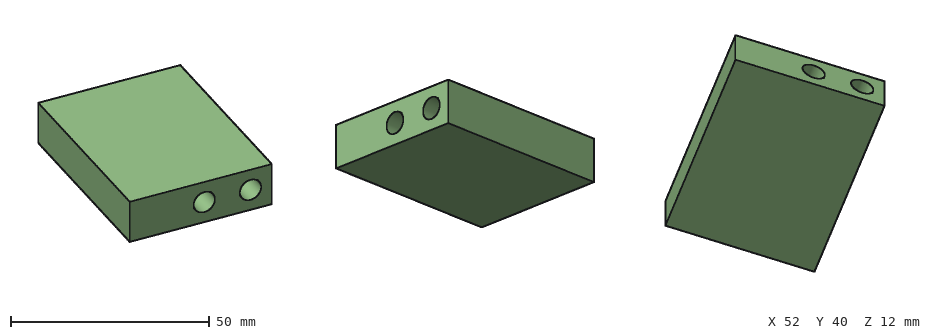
import cadquery as cq

length = 52.0
width = 40.0
height = 12.0

hole_diameter = 6.0
hole_spacing = 13.0
first_hole_inset = height / 2

first_hole_y = width / 2 - first_hole_inset
hole_positions = [(first_hole_y, 0), (first_hole_y - hole_spacing, 0)]

block = cq.Workplane("XY").box(length, width, height)

holes = (
    cq.Workplane("YZ", origin=(-length / 2, 0, 0))
    .pushPoints(hole_positions)
    .circle(hole_diameter / 2)
    .extrude(length)
)

result = block.cut(holes)